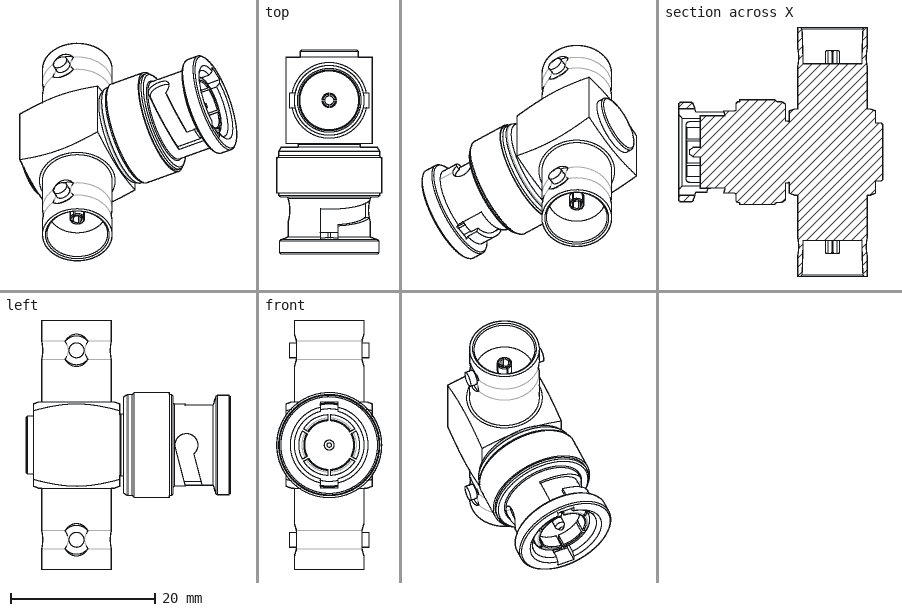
import cadquery as cq
import math


BLOCK_SIZE = 12.0
BLOCK_HALF = BLOCK_SIZE / 2
BLOCK_FLAT_RADIUS = 5.25
BLOCK_CONE_ANGLE = 21

CAP_RADIUS = 4.05
CAP_END_Y = 7.0
CAP_CHAMFER = 0.2

JACK_END_Z = 17.3
JACK_RADIUS = 4.85
GROOVE_Z = 13.15
GROOVE_HALF_HEIGHT = 1.28
GROOVE_DEPTH = 0.15
LUG_RADIUS = 1.05
LUG_TIP_X = 5.55
SPOTFACE_X = 4.55
SPOTFACE_RADIUS = 2.0
SPOTFACE_RIM_RADIUS = 2.25
JACK_MOUTH_RADIUS = 4.43
JACK_MOUTH_CHAMFER = 0.2
JACK_FLOOR_RADIUS = 4.1
JACK_FLOOR_Z = 12.3
SOCKET_RADIUS = 1.0
SOCKET_BORE_RADIUS = 0.62
SOCKET_TIP_Z = 14.08
SOCKET_CHAMFER = 0.15
SOCKET_SLIT_WIDTH = 0.17

PLUG_FRONT_Y = -21.35
NECK_RADIUS = 4.32
NECK_CHAMFER = 0.15
NUT_RADIUS = 7.02
NUT_BACK_Y = -6.5
NUT_BACK_RADIUS = 6.68
NUT_BACK_EDGE_RADIUS = 6.95
NUT_BACK_EDGE_Y = -6.95
NUT_SHALLOW_EDGE_LENGTH = 0.17
NUT_FLARE_LENGTH = 0.28
NUT_FLARE_RADIUS = 7.15
NUT_FRONT_Y = -13.42
NUT_FRONT_RADIUS = 6.78
NUT_FRONT_CHAMFER = 0.25
SLEEVE_RADIUS = 7.3
SLEEVE_BACK_Y = -7.95
SLEEVE_FRONT_Y = -12.87
BARREL_RADIUS = 5.7
BARREL_FOOT_RADIUS = 5.85
BARREL_FOOT_LENGTH = 0.17
FLANGE_BACK_Y = -18.95
FLANGE_RADIUS = 6.92
FLANGE_SHOULDER_RADIUS = 6.75
FLANGE_SHOULDER_Y = -19.35
FLANGE_RIM_Y = -19.55
FLANGE_CHAMFER = 0.2

CORE_RADIUS = 5.05
CORE_FRONT_Y = -18.37
CAVITY_RADIUS = 4.85
CAVITY_MOUTH_RADIUS = 5.4
CAVITY_MOUTH_DEPTH = 0.5
FINGER_RADIUS = 4.22
FINGER_ROUND = 0.45
FINGER_BORE_RADIUS = 3.4
FINGER_BORE_CHAMFER = 0.15
FINGER_TIP_Y = -20.3
FINGER_COUNT = 6
FINGER_SLIT_WIDTH = 0.35
PIN_RADIUS = 0.7
PIN_TIP_RADIUS = 0.3
PIN_TIP_LENGTH = 0.55
PIN_TIP_Y = -19.85
CONTACT_ROOT_Y = CORE_FRONT_Y + 0.35

TRACK_ENTRY_WIDTH = 2.42
TRACK_ENTRY_TOP_Z = 6.0
TRACK_ENTRY_BOTTOM_Z = 4.5
TRACK_ENTRY_BACK_Y = -15.57
TRACK_DETENT_RADIUS = 1.6
TRACK_DETENT_Y = -15.25
TRACK_WIDTH = 2.3
TRACK_ANGLE = 14.6
TRACK_REACH = 8.65


def revolve_about_y(points):
    """Turn a closed (radius, y) outline about the Y axis."""
    return cq.Workplane("XY").polyline(points).close().revolve(360, (0, 0, 0), (0, 1, 0))


def revolve_about_z(points):
    """Turn a closed (radius, z) outline about the Z axis."""
    return cq.Workplane("XZ").polyline(points).close().revolve(360, (0, 0, 0), (0, 1, 0))


def make_block():
    """Cube whose top and bottom corners are trimmed by shallow cones."""
    cone_radius = BLOCK_SIZE
    cone_drop = (cone_radius - BLOCK_FLAT_RADIUS) * math.tan(math.radians(BLOCK_CONE_ANGLE))
    cone_z = BLOCK_HALF - cone_drop
    trim = revolve_about_z([
        (0, -BLOCK_HALF), (BLOCK_FLAT_RADIUS, -BLOCK_HALF), (cone_radius, -cone_z),
        (cone_radius, cone_z), (BLOCK_FLAT_RADIUS, BLOCK_HALF), (0, BLOCK_HALF),
    ])
    return cq.Workplane("XY").box(BLOCK_SIZE, BLOCK_SIZE, BLOCK_SIZE).intersect(trim)


def make_cap():
    return revolve_about_y([
        (0, 0), (CAP_RADIUS, 0), (CAP_RADIUS, CAP_END_Y - CAP_CHAMFER),
        (CAP_RADIUS - CAP_CHAMFER, CAP_END_Y), (0, CAP_END_Y),
    ])


def make_lug():
    """Bayonet lug standing on the +X spotface."""
    return (
        cq.Workplane("YZ", origin=(SPOTFACE_X, 0, GROOVE_Z))
        .circle(LUG_RADIUS)
        .extrude(LUG_TIP_X - SPOTFACE_X)
    )


def make_spotface():
    """Cutter for the flat with a flared wall around the +X lug."""
    return cq.Workplane("XY").polyline([
        (SPOTFACE_X, 0), (SPOTFACE_X, SPOTFACE_RADIUS), (JACK_RADIUS, SPOTFACE_RIM_RADIUS),
        (LUG_TIP_X, SPOTFACE_RIM_RADIUS), (LUG_TIP_X, 0),
    ]).close().revolve(360, (0, 0, 0), (1, 0, 0)).translate((0, 0, GROOVE_Z))


def make_jack_barrel():
    """Solid upper jack with its groove, spotfaces and lugs."""
    groove_bottom = (JACK_RADIUS - GROOVE_DEPTH, GROOVE_Z)
    groove_top_edge = (JACK_RADIUS, GROOVE_Z + GROOVE_HALF_HEIGHT)
    barrel = (
        cq.Workplane("XZ")
        .lineTo(JACK_RADIUS, 0)
        .lineTo(JACK_RADIUS, GROOVE_Z - GROOVE_HALF_HEIGHT)
        .threePointArc(groove_bottom, groove_top_edge)
        .lineTo(JACK_RADIUS, JACK_END_Z)
        .lineTo(0, JACK_END_Z)
        .close()
        .revolve(360, (0, 0, 0), (0, 1, 0))
    )
    spotface = make_spotface()
    lug = make_lug()
    for angle in (0, 180):
        barrel = barrel.cut(spotface.rotate((0, 0, 0), (0, 0, 1), angle))
        barrel = barrel.union(lug.rotate((0, 0, 0), (0, 0, 1), angle))
    return barrel


def make_jack_cavity():
    """Cutter for the jack mouth: tapered bore around the slit centre socket."""
    cavity = revolve_about_z([
        (0, JACK_FLOOR_Z),
        (JACK_FLOOR_RADIUS, JACK_FLOOR_Z),
        (JACK_MOUTH_RADIUS - JACK_MOUTH_CHAMFER, JACK_END_Z - JACK_MOUTH_CHAMFER),
        (JACK_MOUTH_RADIUS, JACK_END_Z),
        (0, JACK_END_Z),
    ])
    socket = revolve_about_z([
        (SOCKET_BORE_RADIUS, JACK_FLOOR_Z),
        (SOCKET_RADIUS, JACK_FLOOR_Z),
        (SOCKET_RADIUS, SOCKET_TIP_Z - SOCKET_CHAMFER),
        (SOCKET_RADIUS - SOCKET_CHAMFER, SOCKET_TIP_Z),
        (SOCKET_BORE_RADIUS, SOCKET_TIP_Z),
    ])
    slit_height = SOCKET_TIP_Z - JACK_FLOOR_Z
    for angle in (0, 90):
        slit = (
            cq.Workplane("XY", origin=(0, 0, JACK_FLOOR_Z))
            .box(2 * SOCKET_RADIUS, SOCKET_SLIT_WIDTH, slit_height, centered=(True, True, False))
            .rotate((0, 0, 0), (0, 0, 1), angle)
        )
        socket = socket.cut(slit)
    return cavity.cut(socket)


def make_jack():
    return make_jack_barrel().cut(make_jack_cavity())


def make_plug_shell():
    """Neck, coupling nut with its sleeve, barrel, and flange with the open cavity."""
    return revolve_about_y([
        (0, 0),
        (NECK_RADIUS - NECK_CHAMFER, 0),
        (NECK_RADIUS - NECK_CHAMFER, -BLOCK_HALF),
        (NECK_RADIUS, -BLOCK_HALF - NECK_CHAMFER),
        (NECK_RADIUS, NUT_BACK_Y),
        (NUT_BACK_RADIUS, NUT_BACK_Y),
        (NUT_BACK_EDGE_RADIUS, NUT_BACK_EDGE_Y),
        (NUT_RADIUS, NUT_BACK_EDGE_Y - NUT_SHALLOW_EDGE_LENGTH),
        (NUT_RADIUS, SLEEVE_BACK_Y + NUT_FLARE_LENGTH),
        (NUT_FLARE_RADIUS, SLEEVE_BACK_Y),
        (SLEEVE_RADIUS, SLEEVE_BACK_Y),
        (SLEEVE_RADIUS, SLEEVE_FRONT_Y),
        (NUT_RADIUS, SLEEVE_FRONT_Y),
        (NUT_RADIUS, NUT_FRONT_Y + NUT_FRONT_CHAMFER),
        (NUT_FRONT_RADIUS, NUT_FRONT_Y),
        (BARREL_FOOT_RADIUS, NUT_FRONT_Y),
        (BARREL_RADIUS, NUT_FRONT_Y - BARREL_FOOT_LENGTH),
        (BARREL_RADIUS, FLANGE_BACK_Y),
        (FLANGE_SHOULDER_RADIUS, FLANGE_SHOULDER_Y),
        (FLANGE_RADIUS, FLANGE_RIM_Y),
        (FLANGE_RADIUS, PLUG_FRONT_Y + FLANGE_CHAMFER),
        (FLANGE_RADIUS - FLANGE_CHAMFER, PLUG_FRONT_Y),
        (CAVITY_MOUTH_RADIUS, PLUG_FRONT_Y),
        (CAVITY_RADIUS, PLUG_FRONT_Y + CAVITY_MOUTH_DEPTH),
        (CAVITY_RADIUS, CORE_FRONT_Y),
        (0, CORE_FRONT_Y),
    ])


def make_track():
    """Cutter for one bayonet track: entry on the +Z side, sloping to a round detent at +X."""
    entry = cq.Workplane("XY").box(
        TRACK_ENTRY_WIDTH, TRACK_ENTRY_BACK_Y - PLUG_FRONT_Y,
        TRACK_ENTRY_TOP_Z - TRACK_ENTRY_BOTTOM_Z, centered=(True, False, False),
    ).translate((0, PLUG_FRONT_Y, TRACK_ENTRY_BOTTOM_Z))

    start_x = -TRACK_ENTRY_WIDTH / 2
    length_x = TRACK_REACH - start_x
    detent = (
        cq.Workplane("YZ", origin=(0, TRACK_DETENT_Y, 0))
        .circle(TRACK_DETENT_RADIUS)
        .extrude(TRACK_REACH)
    )
    ramp = (
        cq.Workplane("XY")
        .box(length_x, TRACK_WIDTH, TRACK_REACH, centered=(False, False, False))
        .translate((start_x, TRACK_DETENT_RADIUS - TRACK_WIDTH, 0))
        .rotate((0, 0, 0), (1, 0, 0), TRACK_ANGLE)
        .translate((0, TRACK_DETENT_Y, 0))
    )
    core = revolve_about_y([(0, 0), (CORE_RADIUS, 0), (CORE_RADIUS, CORE_FRONT_Y), (0, CORE_FRONT_Y)])
    return entry.union(ramp).union(detent).cut(core)


def make_fingers():
    """Ring of spring fingers separated by radial slits."""
    ring = (
        cq.Workplane("XZ", origin=(0, CONTACT_ROOT_Y, 0))
        .circle(FINGER_RADIUS).circle(FINGER_BORE_RADIUS)
        .extrude(CONTACT_ROOT_Y - FINGER_TIP_Y)
    )
    ring = ring.faces("<Y").edges(cq.selectors.RadiusNthSelector(1)).fillet(FINGER_ROUND)
    ring = ring.faces("<Y").edges(cq.selectors.RadiusNthSelector(0)).chamfer(FINGER_BORE_CHAMFER)
    for index in range(FINGER_COUNT):
        slit = (
            cq.Workplane("XY")
            .box(FINGER_SLIT_WIDTH, CORE_FRONT_Y - FINGER_TIP_Y, FINGER_RADIUS,
                 centered=(True, False, False))
            .translate((0, FINGER_TIP_Y, 0))
            .rotate((0, 0, 0), (0, 1, 0), index * 360 / FINGER_COUNT)
        )
        ring = ring.cut(slit)
    return ring


def make_pin():
    return revolve_about_y([
        (0, CONTACT_ROOT_Y), (PIN_RADIUS, CONTACT_ROOT_Y), (PIN_RADIUS, PIN_TIP_Y + PIN_TIP_LENGTH),
        (PIN_TIP_RADIUS, PIN_TIP_Y), (0, PIN_TIP_Y),
    ])


def make_plug():
    track = make_track()
    plug = make_plug_shell()
    for angle in (0, 180):
        plug = plug.cut(track.rotate((0, 0, 0), (0, 1, 0), angle))
    return plug.union(make_fingers()).union(make_pin())


jack = make_jack()
result = make_block().union(make_cap()).union(make_plug())
for angle in (0, 180):
    result = result.union(jack.rotate((0, 0, 0), (1, 0, 0), angle))